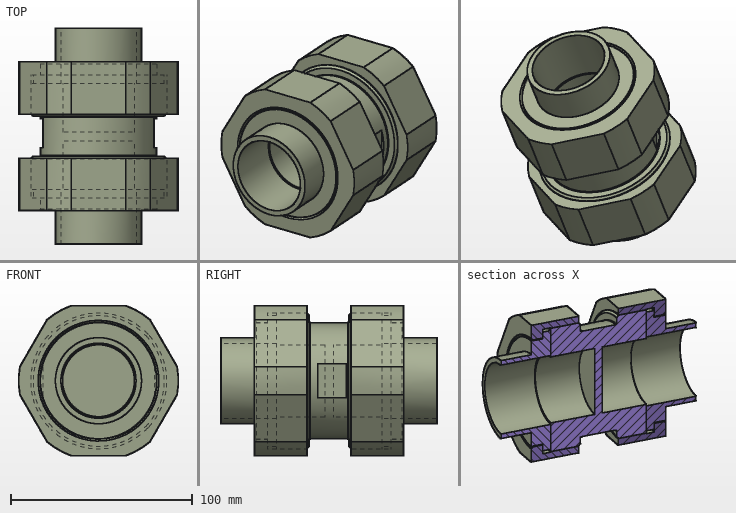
import cadquery as cq
import math

length = 119.0
half_length = length / 2

nut_flats = 82.8
nut_corner_dia = 88.0
nut_inner_y = 12.0
nut_outer_y = 41.0
nut_lip = 7.1
nut_hole_dia = 64.4
nut_hole_chamfer = 1.1

neck_dia = 64.0
shoulder_dia = 64.4
shoulder_y = 10.3
thread_dia = 75.0
thread_y = 11.0
thread_chamfer = 1.4
body_bore_dia = 39.6
body_wall = 4.8

tube_dia = 47.5
tube_bore_dia = 41.4
collar_dia = 64.0
flange_dia = 72.1
flange_width = 4.8
flange_outer_y = nut_outer_y - nut_lip
body_end_y = flange_outer_y - flange_width

flat_x = 30.6
flat_start_y = -6.3
flat_end_y = 9.6


def cylinder(diameter, start_y, end_y):
    """Solid cylinder along Y."""
    return cq.Workplane("XZ", origin=(0, start_y, 0)).circle(diameter / 2).extrude(start_y - end_y)


def make_nut():
    """Nut on the +Y end, with a threaded bore and a retaining lip."""
    width = nut_outer_y - nut_inner_y
    nut = (
        cq.Workplane("XZ", origin=(0, nut_inner_y, 0))
        .polygon(6, nut_flats / math.cos(math.pi / 6))
        .extrude(-width)
    )
    nut = nut.intersect(cylinder(nut_corner_dia, nut_inner_y, nut_outer_y))
    nut = nut.cut(cylinder(thread_dia, nut_inner_y, flange_outer_y))
    nut = nut.cut(cylinder(nut_hole_dia, flange_outer_y, nut_outer_y))
    hole_edge = cq.selectors.RadiusNthSelector(0)
    return nut.faces(">Y").edges("%CIRCLE").edges(hole_edge).chamfer(nut_hole_chamfer)


def make_tailpiece():
    """Tube on the +Y end, with a collar in the nut hole and a flange behind the lip."""
    tailpiece = cylinder(tube_dia, body_end_y, half_length)
    tailpiece = tailpiece.union(cylinder(collar_dia, body_end_y, nut_outer_y))
    tailpiece = tailpiece.union(cylinder(flange_dia, body_end_y, flange_outer_y))
    return tailpiece.cut(cylinder(tube_bore_dia, body_end_y, half_length))


def make_body():
    """Central body with a flatted neck, two threads and two blind bores."""
    body = cylinder(neck_dia, -thread_y, thread_y)
    flat_length = flat_end_y - flat_start_y
    flat_depth = neck_dia / 2 - flat_x
    flat_center_y = (flat_start_y + flat_end_y) / 2
    for side in (-1, 1):
        cutter = cq.Workplane("XY").box(flat_depth, flat_length, neck_dia)
        body = body.cut(cutter.translate((side * (flat_x + flat_depth / 2), flat_center_y, 0)))

    shoulder = cylinder(shoulder_dia, shoulder_y, thread_y)
    thread = cylinder(thread_dia, thread_y, body_end_y).faces("<Y").edges().chamfer(thread_chamfer)
    bore = cylinder(body_bore_dia, body_wall / 2, body_end_y)
    threaded_end = shoulder.union(thread)
    body = body.union(threaded_end).union(mirrored(threaded_end))
    return body.cut(bore).cut(mirrored(bore))


def mirrored(shape):
    """Matching shape on the -Y end."""
    return shape.mirror("XZ")


body = make_body()
end_bodies = []
for make_end_body in (make_nut, make_tailpiece):
    end_body = make_end_body()
    end_bodies += [end_body.val(), mirrored(end_body).val()]

result = cq.Compound.makeCompound([body.val(), *end_bodies])